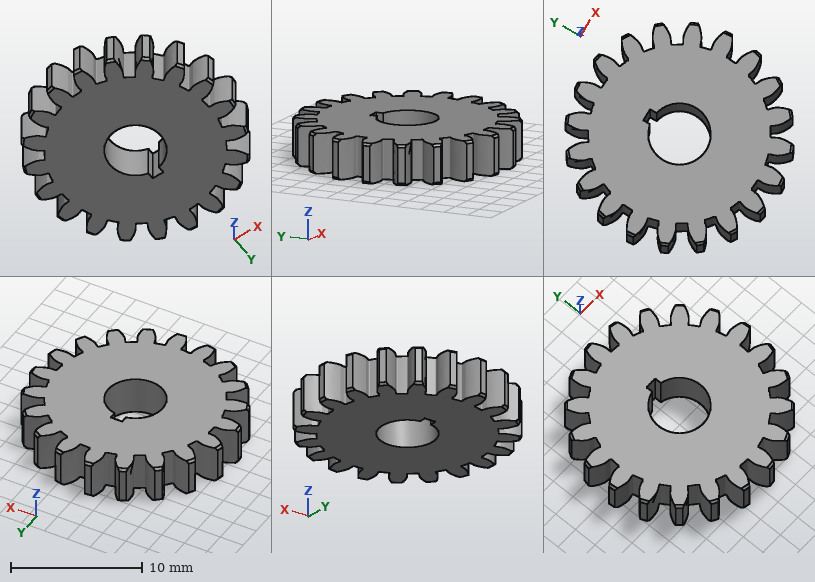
import cadquery as cq
import math

tooth_count = 20
pitch_diameter = 15.88
pressure_angle = math.radians(20)
face_width = 3.17
tip_chamfer = 0.2
root_fillet = 0.09
bore_diameter = 4.75
keyway_width = 1.0
keyway_top = 2.91

addendum_factor = 1.0
dedendum_factor = 1.25

module = pitch_diameter / tooth_count
pitch_radius = pitch_diameter / 2
base_radius = pitch_radius * math.cos(pressure_angle)
tip_radius = pitch_radius + addendum_factor * module
root_radius = pitch_radius - dedendum_factor * module
tooth_pitch_angle = 2 * math.pi / tooth_count


def involute(angle):
    return math.tan(angle) - angle


base_half_angle = tooth_pitch_angle / 4 + involute(pressure_angle)

first_tooth_angle = base_half_angle

fillet_center_radius = root_radius + root_fillet
fillet_angle = math.asin(root_fillet / fillet_center_radius)
fillet_top_radius = fillet_center_radius * math.cos(fillet_angle)

flank_steps = 4


def polar(radius, angle):
    return (radius * math.cos(angle), radius * math.sin(angle))


def half_angle_at(radius):
    """Half of the angle a tooth spans at a radius on or outside the base circle."""
    return base_half_angle - involute(math.acos(base_radius / radius))


def flank_radius(step):
    """Radii bunched near the base circle, where the involute bends most."""
    return base_radius + (tip_radius - base_radius) * (step / flank_steps) ** 2


def gear_outline():
    """Closed gear profile: filleted roots, radial flanks up to the base circle, then involutes."""
    radii = [flank_radius(step) for step in range(flank_steps + 1)]
    tip_pressure_angle = math.acos(base_radius / tip_radius)
    tip_turn = math.tan(tip_pressure_angle)
    outline = cq.Workplane("XY").moveTo(*polar(fillet_top_radius, first_tooth_angle - base_half_angle))
    for index in range(tooth_count):
        center = first_tooth_angle + index * tooth_pitch_angle
        start_angle = center - base_half_angle
        end_angle = center + base_half_angle
        next_start_angle = start_angle + tooth_pitch_angle
        gap_center = center + tooth_pitch_angle / 2
        rising = [polar(r, center - half_angle_at(r)) for r in radii]
        falling = [polar(r, center + half_angle_at(r)) for r in reversed(radii)]
        rising_tangents = [polar(1, start_angle), polar(1, start_angle + tip_turn)]
        falling_tangents = [polar(-1, end_angle - tip_turn), polar(-1, end_angle)]
        outline = (
            outline.lineTo(*rising[0])
            .spline(rising[1:], tangents=rising_tangents, includeCurrent=True)
            .threePointArc(polar(tip_radius, center), falling[0])
            .spline(falling[1:], tangents=falling_tangents, includeCurrent=True)
            .lineTo(*polar(fillet_top_radius, end_angle))
            .tangentArcPoint(polar(root_radius, end_angle + fillet_angle), relative=False)
            .threePointArc(
                polar(root_radius, gap_center),
                polar(root_radius, next_start_angle - fillet_angle),
            )
            .tangentArcPoint(polar(fillet_top_radius, next_start_angle), relative=False)
        )
    return outline.close()


def chamfered_blank():
    """Disc whose bevelled rims trim the tooth tips on both faces."""
    disc = cq.Workplane("XY").circle(tip_radius).extrude(face_width)
    return disc.edges("%CIRCLE").chamfer(tip_chamfer)


def keyed_bore():
    """Cutter for the through bore with its keyway on the +Y side."""
    bore = cq.Workplane("XY").circle(bore_diameter / 2).extrude(face_width)
    keyway = (
        cq.Workplane("XY")
        .center(0, keyway_top / 2)
        .rect(keyway_width, keyway_top)
        .extrude(face_width)
    )
    return bore.union(keyway)


teeth = gear_outline().extrude(face_width)
result = teeth.intersect(chamfered_blank()).cut(keyed_bore())